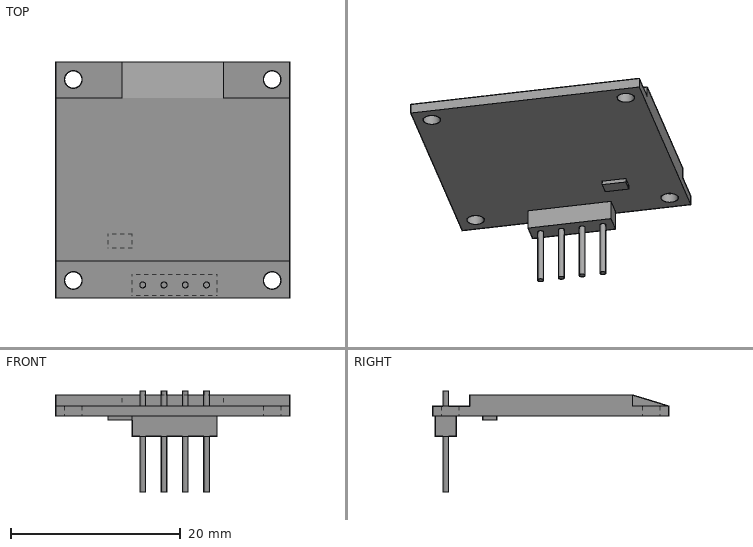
import cadquery as cq

board_width = 27.57
board_length = 27.82
board_thickness = 1.2
hole_diameter = 2.03
hole_inset = 2.1

glass_thickness = 1.3
glass_front_margin = 4.37
glass_rear_margin = 4.28

ramp_left_margin = 7.82
ramp_width = 11.93

pin_count = 4
pin_pitch = 2.5
pin_diameter = 0.7
pin_length = 11.9
pin_rise = 1.78
header_offset_x = 0.22
header_from_front = 1.55
header_width = 10.02
header_depth = 2.5
header_height = 2.36

chip_left_margin = 6.15
chip_from_front = 5.9
chip_depth = 1.67
chip_height = 0.47

left = -board_width / 2
front = -board_length / 2
rear = board_length / 2
glass_rear = rear - glass_rear_margin
header_y = front + header_from_front


def block(x, y, z, width, depth, height):
    """Box whose lowest left front corner is at x, y, z."""
    return cq.Workplane("XY").box(width, depth, height, centered=False).translate((x, y, z))


def make_board():
    plate = block(left, front, 0, board_width, board_length, board_thickness)
    holes = (
        cq.Workplane("XY")
        .rect(board_width - 2 * hole_inset, board_length - 2 * hole_inset, forConstruction=True)
        .vertices()
        .circle(hole_diameter / 2)
        .extrude(board_thickness)
    )
    return plate.cut(holes)


def make_glass():
    depth = board_length - glass_front_margin - glass_rear_margin
    return block(left, front + glass_front_margin, board_thickness, board_width, depth, glass_thickness)


def make_ramp():
    profile = [
        (rear, board_thickness),
        (glass_rear, board_thickness + glass_thickness),
        (glass_rear, board_thickness),
    ]
    ramp = cq.Workplane("YZ").polyline(profile).close().extrude(ramp_width)
    return ramp.translate((left + ramp_left_margin, 0, 0))


def make_header():
    header = block(
        header_offset_x - header_width / 2,
        header_y - header_depth / 2,
        -header_height,
        header_width,
        header_depth,
        header_height,
    )
    pin_bottom = board_thickness + pin_rise - pin_length
    pins = (
        cq.Workplane("XY", origin=(header_offset_x, header_y, pin_bottom))
        .rarray(pin_pitch, 0.28, pin_count, 1)
        .circle(pin_diameter / 2)
        .extrude(pin_length)
    )
    return header.union(pins)


def make_chip():
    chip_left = left + chip_left_margin
    chip_width = header_offset_x - header_width / 2 - chip_left
    return block(chip_left, front + chip_from_front, -chip_height, chip_width, chip_depth, chip_height)


result = (
    make_board()
    .union(make_glass())
    .union(make_ramp())
    .union(make_header())
    .union(make_chip())
)